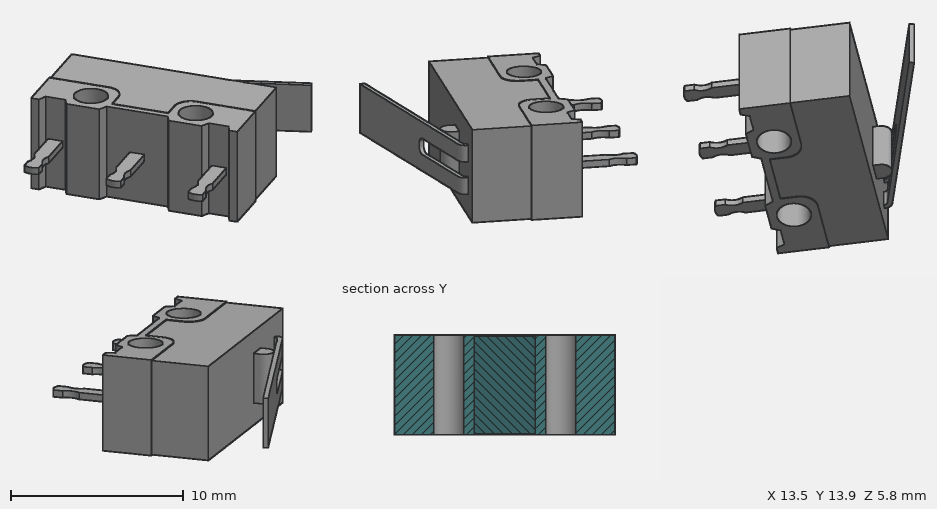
import cadquery as cq
import math


base_width = 12.8
base_depth = 5.8
base_height = 3.01
recess_height = 0.5
side_recess_outer = (5.9, 5.68)
side_recess_inner = (4.19, 4.46)
middle_recess = (2.16, 1.9)
hole_diameter = 2.0
hole_pitch = 6.5
hole_height = base_height / 2

cover_inset = 0.049
cover_width = base_width - 2 * cover_inset
cover_depth = base_depth - 2 * cover_inset
cover_top = 6.5
tongue_width = 3.48
tongue_bottom = 0.98
shoulder_radius = 1.0

plunger_x = -1.95
plunger_width = 1.2
plunger_rise = 1.0

lever_angle = math.radians(16.05)
lever_thickness = 0.3
lever_depth = 3.0
lever_left = -5.15
lever_bend_radius = 0.5
lever_bend_height = 0.05
lever_length = 12.31
slot_width = 0.98
slot_end = 4.86
slot_corner_radius = 0.38
plunger_depth = lever_depth

terminal_pitch = 5.08
terminal_width = 0.9
terminal_thickness = 0.42
terminal_tip = -3.48
terminal_tip_bulge = 0.13
neck_middle = -2.27
neck_length = 1.03
neck_depth = 0.15


def extrude_centred(profile, depth):
    """Extrude an XY profile by depth, half to each side of Z = 0."""
    return profile.extrude(depth / 2, both=True)


def tongue():
    """Middle block of the cover, also used to cut its seat in the base."""
    height = base_height - tongue_bottom
    outline = cq.Workplane("XY").center(0, tongue_bottom + height / 2).rect(tongue_width, height)
    return extrude_centred(outline, base_depth)


def recess(mouth_left, floor_left, floor_right, mouth_right):
    """Tapered channel across the foot of the base."""
    outline = cq.Workplane("XY").polyline([
        (mouth_left, 0),
        (floor_left, recess_height),
        (floor_right, recess_height),
        (mouth_right, 0),
    ]).close()
    return extrude_centred(outline, base_depth)


def make_base():
    block = extrude_centred(
        cq.Workplane("XY").center(0, base_height / 2).rect(base_width, base_height), base_depth
    )
    block = block.cut(tongue())

    for side in (-1, 1):
        shoulder = cq.NearestToPointSelector((side * tongue_width / 2, base_height, 0))
        block = block.edges("|Z").edges(shoulder).fillet(shoulder_radius)

    outer_mouth, outer_floor = side_recess_outer
    inner_mouth, inner_floor = side_recess_inner
    middle_mouth, middle_floor = middle_recess
    block = block.cut(recess(-outer_mouth, -outer_floor, -inner_floor, -inner_mouth))
    block = block.cut(recess(-middle_mouth, -middle_floor, middle_floor, middle_mouth))
    block = block.cut(recess(inner_mouth, inner_floor, outer_floor, outer_mouth))

    holes = cq.Workplane("XY").pushPoints(
        [(-hole_pitch / 2, hole_height), (hole_pitch / 2, hole_height)]
    ).circle(hole_diameter / 2)
    return block.cut(extrude_centred(holes, base_depth))


def make_cover():
    """Block on top of the base whose tongue fills the rounded seat."""
    half_body = cover_width / 2
    half_tongue = tongue_width / 2
    shoulder_x = half_tongue + shoulder_radius
    shoulder_y = base_height - shoulder_radius
    diagonal = shoulder_radius * math.sqrt(0.5)
    outline = (
        cq.Workplane("XY")
        .moveTo(-half_body, cover_top)
        .lineTo(-half_body, base_height)
        .lineTo(-shoulder_x, base_height)
        .threePointArc((-shoulder_x + diagonal, shoulder_y + diagonal), (-half_tongue, shoulder_y))
        .lineTo(-half_tongue, tongue_bottom)
        .lineTo(half_tongue, tongue_bottom)
        .lineTo(half_tongue, shoulder_y)
        .threePointArc((shoulder_x - diagonal, shoulder_y + diagonal), (shoulder_x, base_height))
        .lineTo(half_body, base_height)
        .lineTo(half_body, cover_top)
        .close()
    )
    return extrude_centred(outline, cover_depth)


def make_plunger():
    """Round-topped button standing on the cover."""
    radius = plunger_width / 2
    top = cover_top + plunger_rise
    outline = (
        cq.Workplane("XY")
        .moveTo(plunger_x - radius, cover_top)
        .lineTo(plunger_x - radius, top - radius)
        .threePointArc((plunger_x, top), (plunger_x + radius, top - radius))
        .lineTo(plunger_x + radius, cover_top)
        .close()
    )
    return extrude_centred(outline, plunger_depth)


def make_lever():
    """Bent strip: a short upright foot, a bend and a sloping slotted blade."""
    bend_x = lever_left + lever_bend_radius
    bend_y = cover_top + lever_bend_height
    inner_radius = lever_bend_radius - lever_thickness
    blade_normal = math.pi / 2 + lever_angle
    bend_middle = (math.pi + blade_normal) / 2

    def on_bend(radius, angle, along=0):
        """Point at an angle on the bend, moved along the blade direction."""
        return (
            bend_x + radius * math.cos(angle) + along * math.cos(lever_angle),
            bend_y + radius * math.sin(angle) + along * math.sin(lever_angle),
        )

    outline = (
        cq.Workplane("XY")
        .moveTo(lever_left, cover_top)
        .lineTo(lever_left, bend_y)
        .threePointArc(on_bend(lever_bend_radius, bend_middle), on_bend(lever_bend_radius, blade_normal))
        .lineTo(*on_bend(lever_bend_radius, blade_normal, lever_length))
        .lineTo(*on_bend(inner_radius, blade_normal, lever_length))
        .lineTo(*on_bend(inner_radius, blade_normal))
        .threePointArc(on_bend(inner_radius, bend_middle), on_bend(inner_radius, math.pi))
        .lineTo(lever_left + lever_thickness, cover_top)
        .close()
    )
    strip = extrude_centred(outline, lever_depth)

    slot_start = -2 * lever_bend_radius
    slot = (
        cq.Workplane("XY")
        .box(slot_end - slot_start, 4 * lever_bend_radius, slot_width)
        .edges(">X and |Y").fillet(slot_corner_radius)
        .translate(((slot_start + slot_end) / 2, 0, 0))
        .rotate((0, 0, 0), (0, 0, 1), math.degrees(lever_angle))
        .translate((bend_x, bend_y, 0))
    )
    return strip.cut(slot)


def make_terminal(x):
    """Flat pin with a waisted neck and a rounded tip, standing on a recess floor."""
    half = terminal_width / 2
    neck_half = half - neck_depth
    neck_top = neck_middle + neck_length / 2
    neck_bottom = neck_middle - neck_length / 2
    tip_shoulder = terminal_tip + terminal_tip_bulge
    outline = (
        cq.Workplane("XY")
        .moveTo(-half, recess_height)
        .lineTo(-half, neck_top)
        .threePointArc((-neck_half, neck_middle), (-half, neck_bottom))
        .lineTo(-half, tip_shoulder)
        .threePointArc((0, terminal_tip), (half, tip_shoulder))
        .lineTo(half, neck_bottom)
        .threePointArc((neck_half, neck_middle), (half, neck_top))
        .lineTo(half, recess_height)
        .close()
    )
    return extrude_centred(outline, terminal_thickness).translate((x, 0, 0))


base = make_base()
cover = make_cover()
plunger = make_plunger()
lever = make_lever()
terminals = [make_terminal(position * terminal_pitch) for position in (-1, 0, 1)]

result = cq.Compound.makeCompound([
    base.val(),
    cover.val(),
    plunger.val(),
    lever.val(),
    *[terminal.val() for terminal in terminals],
])